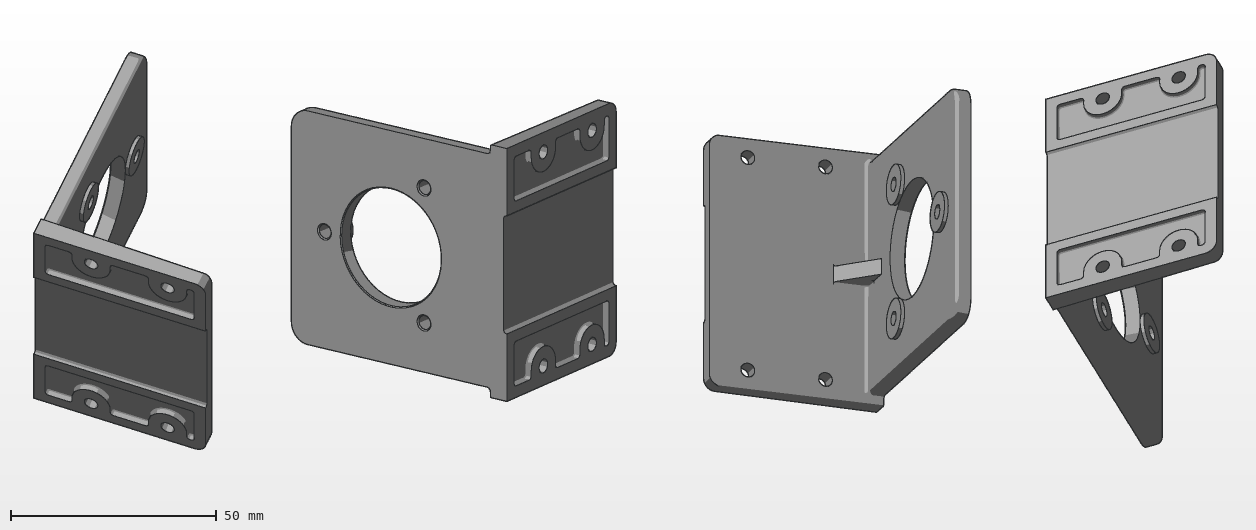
import cadquery as cq
import math

flange_length = 45.0
flange_height = 65.0
flange_root_thickness = 5.0
flange_tip_thickness = 4.0
flange_corner_radius = 3.0
flange_edge_fillet = 0.45

plate_reach = 65.0
plate_height = 60.05
plate_thickness = 4.0
plate_corner_radius = 5.0
plate_rim_fillet = 1.1
junction_fillet = 1.0

rib_thickness = 4.0
rib_leg = 9.0
rib_fillet = 0.5
rib_blend_top = 9.0

bore_radius = 15.0
bore_center_y = 35.0
bore_chamfer = 0.25
screw_count = 3
screw_radius = 1.75
screw_chamfer = 0.3
screw_circle_radius = 20.0
boss_radius = 5.0
boss_height = 1.0

channel_height = 30.3
channel_depth = 1.0
channel_fillet = 0.9

pocket_margin = 3.0
pocket_end = 14.5
pocket_depth = 1.5
pocket_corner_radius = 0.9
pocket_floor_fillet = 0.5
pad_radius = 5.0
mount_hole_radius = 1.75
mount_hole_spacing = 20.0
first_mount_x = 15.0
mount_hole_xs = (first_mount_x, first_mount_x + mount_hole_spacing)
mount_hole_z = flange_height / 2 - 5.0

slack = 0.05


def flange_back(x):
    """Y of the tapered back face of the flange at the given X."""
    taper = (flange_root_thickness - flange_tip_thickness) / flange_length
    return flange_root_thickness - taper * x


def make_flange():
    body = (
        cq.Workplane("XY")
        .polyline([
            (0, 0),
            (flange_length, 0),
            (flange_length, flange_tip_thickness),
            (0, flange_root_thickness),
        ])
        .close()
        .extrude(flange_height / 2, both=True)
    )
    body = body.faces(">Y").edges(">Z or <Z").fillet(flange_edge_fillet)
    rounded_outline = (
        cq.Workplane("XY")
        .box(flange_length, flange_root_thickness, flange_height, centered=(False, False, True))
        .edges("|Y and >X")
        .fillet(flange_corner_radius)
    )
    return body.intersect(rounded_outline)


def make_plate():
    body = cq.Workplane("XY").box(
        plate_thickness, plate_reach, plate_height, centered=(False, False, True)
    )
    body = body.edges("|X and >Y").fillet(plate_corner_radius)
    return body.faces(">X").edges("not <Y").fillet(plate_rim_fillet)


def blend_junction(body):
    """Round the inside corner all along the line where the plate meets the flange."""
    junction_edges = cq.selectors.BoxSelector(
        (-slack, flange_back(plate_thickness) - slack, -plate_height / 2 - slack),
        (plate_thickness + slack, flange_root_thickness + slack, plate_height / 2 + slack),
        boundingbox=True,
    )
    return body.edges(junction_edges).fillet(junction_fillet)


def add_rib(body):
    """Add the triangular rib and blend its two sides into the plate and the flange."""
    toe_x = plate_thickness + rib_leg
    top_y = flange_root_thickness + rib_leg
    rib = (
        cq.Workplane("XY")
        .polyline([(0, 0), (toe_x, 0), (toe_x, flange_back(toe_x)), (plate_thickness, top_y), (0, top_y)])
        .close()
        .extrude(rib_thickness / 2, both=True)
    )
    plain = body.union(rib)
    rib_side = cq.selectors.BoxSelector((0, 0, -rib_thickness), (toe_x, top_y, rib_thickness))
    side_edges = plain.faces("|Z").faces(rib_side).edges().vals()
    foot_edges = [
        edge for edge in side_edges
        if edge.Center().x < plate_thickness + junction_fillet
        or edge.Center().y < flange_root_thickness + junction_fillet
    ]
    blended = plain.newObject(foot_edges).fillet(rib_fillet)
    blend_zone = cq.Workplane("XY").box(
        flange_length, rib_blend_top, plate_height / 2, centered=(False, False, True)
    )
    return plain.union(blended.intersect(blend_zone))


def screw_points():
    """(Y, Z) of the screw holes, evenly spaced round the bore, the first one farthest out."""
    angles = [2 * math.pi * i / screw_count for i in range(screw_count)]
    return [
        (bore_center_y + screw_circle_radius * math.cos(a), screw_circle_radius * math.sin(a))
        for a in angles
    ]


def chamfered_bore(y, z, radius, chamfer):
    """Cutter along X through plate and boss, opening out at the outer face X = 0."""
    hole = cq.Workplane("YZ").center(y, z).circle(radius).extrude(plate_thickness + boss_height)
    cone = cq.Solid.makeCone(
        radius + chamfer, radius, chamfer, cq.Vector(0, y, z), cq.Vector(1, 0, 0)
    )
    return hole.union(cone)


def make_channel():
    """Cutter for the front channel, with rounded inside corners."""
    cutter = cq.Workplane("XY").box(
        flange_length, channel_depth, channel_height, centered=(False, False, True)
    )
    return cutter.edges("|X and >Y").fillet(channel_fillet)


def make_pocket():
    """Cutter for the upper pocket, with rounded corners and a filleted floor."""
    top = flange_height / 2 - pocket_margin
    bottom = flange_height / 2 - pocket_end
    pad_centers = [(x, mount_hole_z) for x in mount_hole_xs]
    neck_centers = [(x, mount_hole_z + pad_radius) for x in mount_hole_xs]
    outline = (
        cq.Sketch()
        .push([(flange_length / 2, (top + bottom) / 2)])
        .rect(flange_length - 2 * pocket_margin, top - bottom)
        .reset()
        .push(pad_centers)
        .circle(pad_radius, mode="s")
        .reset()
        .push(neck_centers)
        .rect(2 * pad_radius, 2 * pad_radius, mode="s")
        .reset()
    )
    cutter = cq.Workplane("XZ").placeSketch(outline).extrude(-pocket_depth)
    top_corners = cq.selectors.BoxSelector(
        (0, 0, top - slack), (flange_length, pocket_depth, top + slack)
    )
    bottom_corners = cq.selectors.BoxSelector(
        (0, 0, bottom - slack), (flange_length, pocket_depth, bottom + slack)
    )
    cutter = cutter.edges("|Y").edges(top_corners + bottom_corners).fillet(pocket_corner_radius)
    return cutter.faces(">Y").edges().fillet(pocket_floor_fillet)


def make_mount_holes():
    """Cutters along Y through the flange, two above and two below the channel."""
    points = [(x, z) for x in mount_hole_xs for z in (mount_hole_z, -mount_hole_z)]
    return (
        cq.Workplane("XZ")
        .pushPoints(points)
        .circle(mount_hole_radius)
        .extrude(-flange_root_thickness)
    )


result = blend_junction(make_flange().union(make_plate()))
result = add_rib(result)

bosses = (
    cq.Workplane("YZ", origin=(plate_thickness, 0, 0))
    .pushPoints(screw_points())
    .circle(boss_radius)
    .extrude(boss_height)
)
result = result.union(bosses)

result = result.cut(chamfered_bore(bore_center_y, 0, bore_radius, bore_chamfer))
for screw_y, screw_z in screw_points():
    result = result.cut(chamfered_bore(screw_y, screw_z, screw_radius, screw_chamfer))

upper_pocket = make_pocket()
lower_pocket = upper_pocket.mirror("XY")
result = result.cut(make_channel()).cut(upper_pocket).cut(lower_pocket)
result = result.cut(make_mount_holes())